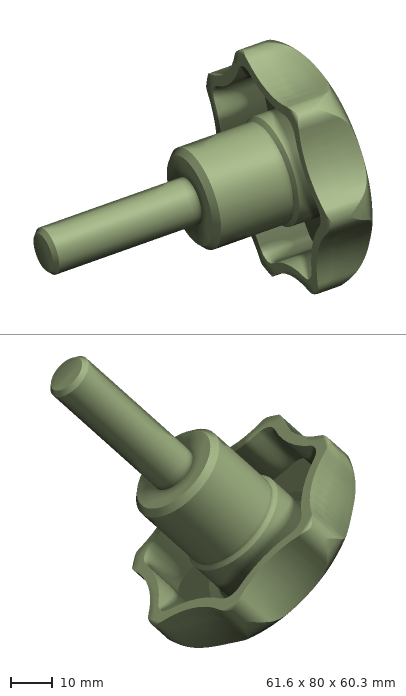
import cadquery as cq
import math


lobe_count = 7
lobe_pitch = 360 / lobe_count

head_radius = 31.5
head_height = 19.0
dome_radius = 84
shoulder_radius = 10.0
rim_fillet = 1.0
lobe_rounding = 4.5
valley_radius = 26.2

pocket_depth = 13.0
pocket_tip_radius = 27.5
pocket_rounding = 4.1
pocket_valley_radius = 23.4

recess_outer_radius = 17.4
recess_inner_radius = 15.3
recess_slope = 14

hub_radius = 26.0 / 2
hub_length = 21.0
hub_chamfer = 1.5
sleeve_radius = 28 / 2
sleeve_start = 0.2
sleeve_end = 16
stem_radius = 12 / 2
overall_length = 80
stem_end = head_height - overall_length
stem_chamfer = 1.1


def polar(radius, angle):
    """Point in the XZ sketch plane, with the angle in degrees."""
    return radius * math.cos(math.radians(angle)), radius * math.sin(math.radians(angle))


def star_prism(tip_radius, rounding, valley, depth):
    """Prism from Y = 0 to Y = depth whose outline blends rounded lobes with hollow arcs."""
    half_pitch = lobe_pitch / 2
    tip_centre = tip_radius - rounding
    offset = valley - rounding
    hollow_centre = (tip_centre**2 - offset**2) / (
        2 * (tip_centre * math.cos(math.radians(half_pitch)) - offset)
    )
    hollow_radius = hollow_centre - valley
    blend = rounding / (rounding + hollow_radius)

    def tangent_point(lobe_angle, side):
        tip_x, tip_z = polar(tip_centre, lobe_angle)
        hollow_x, hollow_z = polar(hollow_centre, lobe_angle + side * half_pitch)
        return tip_x + blend * (hollow_x - tip_x), tip_z + blend * (hollow_z - tip_z)

    first_lobe = -90
    outline = cq.Workplane("XZ").moveTo(*tangent_point(first_lobe, -1))
    for index in range(lobe_count):
        angle = first_lobe + index * lobe_pitch
        outline = outline.threePointArc(polar(tip_radius, angle), tangent_point(angle, 1))
        outline = outline.threePointArc(
            polar(valley, angle + half_pitch), tangent_point(angle + lobe_pitch, -1)
        )
    return outline.close().extrude(-depth)


def revolve_about_y(profile):
    return profile.close().revolve(360, (0, 0, 0), (0, 1, 0))


def make_head_envelope():
    """Domed disc with a round shoulder and a small fillet at the rim."""
    dome_centre = head_height - dome_radius
    shoulder_x = head_radius - shoulder_radius
    shoulder_y = dome_centre + math.sqrt((dome_radius - shoulder_radius)**2 - shoulder_x**2)
    tilt = math.asin(shoulder_x / (dome_radius - shoulder_radius))

    def on_shoulder(angle):
        return (shoulder_x + shoulder_radius * math.sin(angle),
                shoulder_y + shoulder_radius * math.cos(angle))

    def on_dome(angle):
        return dome_radius * math.sin(angle), dome_centre + dome_radius * math.cos(angle)

    rim_inset = rim_fillet * (1 - math.sqrt(0.5))
    profile = (
        cq.Workplane("XY")
        .lineTo(head_radius - rim_fillet, 0)
        .threePointArc((head_radius - rim_inset, rim_inset), (head_radius, rim_fillet))
        .lineTo(head_radius, shoulder_y)
        .threePointArc(on_shoulder((tilt + math.pi / 2) / 2), on_shoulder(tilt))
        .threePointArc(on_dome(tilt / 2), (0, head_height))
    )
    return revolve_about_y(profile)


def make_floor_recess():
    """Conical groove in the pocket floor, rounded where it meets the sleeve."""
    slope = math.radians(recess_slope)
    rounding = (recess_inner_radius - sleeve_radius) / (1 + math.sin(slope))
    cone_end_y = pocket_depth + (recess_outer_radius - recess_inner_radius) * math.tan(slope)
    centre_x = sleeve_radius + rounding
    centre_y = cone_end_y - rounding * math.cos(slope)
    middle = (math.pi + math.pi / 2 - slope) / 2
    profile = (
        cq.Workplane("XY")
        .moveTo(sleeve_radius, pocket_depth)
        .lineTo(recess_outer_radius, pocket_depth)
        .lineTo(recess_inner_radius, cone_end_y)
        .threePointArc(
            (centre_x + rounding * math.cos(middle), centre_y + rounding * math.sin(middle)),
            (sleeve_radius, centre_y),
        )
    )
    return revolve_about_y(profile)


def make_hub_and_stem():
    step = sleeve_radius - hub_radius
    hub_end = -hub_length
    profile = (
        cq.Workplane("XY")
        .moveTo(0, stem_end)
        .lineTo(stem_radius - stem_chamfer, stem_end)
        .lineTo(stem_radius, stem_end + stem_chamfer)
        .lineTo(stem_radius, hub_end)
        .lineTo(hub_radius - hub_chamfer, hub_end)
        .lineTo(hub_radius, hub_end + hub_chamfer)
        .lineTo(hub_radius, sleeve_start)
        .lineTo(sleeve_radius, sleeve_start + step)
        .lineTo(sleeve_radius, sleeve_end)
        .lineTo(0, sleeve_end)
    )
    return revolve_about_y(profile)


head = make_head_envelope().intersect(
    star_prism(head_radius, lobe_rounding, valley_radius, head_height)
)
pocket = star_prism(pocket_tip_radius, pocket_rounding, pocket_valley_radius, pocket_depth)
result = head.cut(pocket).cut(make_floor_recess()).union(make_hub_and_stem())